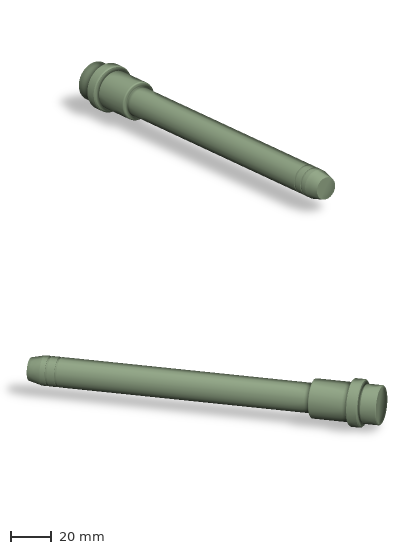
import cadquery as cq

length = 181.0
collar_start = 9.0
collar_width = 6.0
head_end = 35.1
groove_starts = (165.3, 170.1)
tip_length = 7.0

head_diameter = 20.0
collar_diameter = 24.0
shaft_diameter = 15.0
tip_diameter = 11.5

head_chamfer = 0.4
collar_chamfer = 0.5
sleeve_fillet = 0.7
relief_width = 1.0
relief_depth = 0.7
root_fillet = 0.4
groove_depth = 0.4
groove_width = 1.0

collar_end = collar_start + collar_width
head_radius = head_diameter / 2
collar_radius = collar_diameter / 2
shaft_radius = shaft_diameter / 2
relief_radius = head_radius - relief_depth
groove_radius = shaft_radius - groove_depth


def head_profile(sketch):
    """Stub head, collar with tapered reliefs on both sides, and the sleeve."""
    return (
        sketch.lineTo(0, head_radius - head_chamfer)
        .lineTo(head_chamfer, head_radius)
        .lineTo(collar_start - relief_width, head_radius)
        .lineTo(collar_start, relief_radius)
        .lineTo(collar_start, collar_radius - collar_chamfer)
        .lineTo(collar_start + collar_chamfer, collar_radius)
        .lineTo(collar_end - collar_chamfer, collar_radius)
        .lineTo(collar_end, collar_radius - collar_chamfer)
        .lineTo(collar_end, relief_radius)
        .lineTo(collar_end + relief_width, head_radius)
        .lineTo(head_end - sleeve_fillet, head_radius)
        .radiusArc((head_end, head_radius - sleeve_fillet), sleeve_fillet)
    )


def shaft_profile(sketch):
    """Shaft with a filleted root, two narrow square grooves and a tapered tip."""
    sketch = sketch.lineTo(head_end, shaft_radius + root_fillet).radiusArc(
        (head_end + root_fillet, shaft_radius), -root_fillet
    )
    for start in groove_starts:
        sketch = (
            sketch.lineTo(start, shaft_radius)
            .lineTo(start, groove_radius)
            .lineTo(start + groove_width, groove_radius)
            .lineTo(start + groove_width, shaft_radius)
        )
    return (
        sketch.lineTo(length - tip_length, shaft_radius)
        .lineTo(length, tip_diameter / 2)
        .lineTo(length, 0)
    )


outline = shaft_profile(head_profile(cq.Workplane("XY").moveTo(0, 0))).close()
turned = outline.revolve(360, (0, 0, 0), (1, 0, 0))

result = turned.translate((-length / 2, 0, 0))